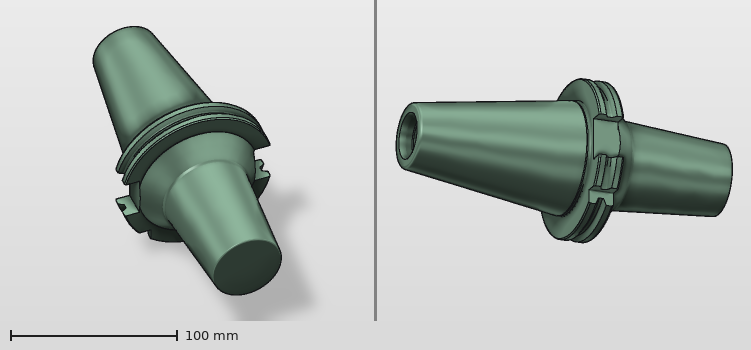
import cadquery as cq
import math

gauge_radius = 69.85 / 2
shank_length = 101.6
taper_slope = 7 / 24 / 2
rear_radius = gauge_radius - shank_length * taper_slope
rear_fillet = 2.0

relief_depth = 0.4
relief_run_in = 1.0
relief_fillet = 1.0

flange_start = 3.2
flange_width = 15.9
flange_end = flange_start + flange_width
flange_radius = 97.5 / 2
flange_chamfer_length = 1.0
flange_chamfer_depth = 0.6
groove_center = 11.15
groove_floor_radius = 45.6
groove_floor_width = 3.2
groove_half_angle = 30
groove_fillet = 1.0

shoulder_radius = 38.6
shoulder_length = 0.3
nose_start = 33.2
nose_end = 100.0
nose_tip_radius = 22.0
nose_angle = 4.5
nose_start_radius = nose_tip_radius + (nose_end - nose_start) * math.tan(math.radians(nose_angle))
nose_blend = 3.0
nose_tip_fillet = 1.0

slot_width = 25.7
slot_floor_back = 35.3
slot_floor_front = 37.7
slot_end = nose_start

notch_offset = 30.1
notch_fillet = 1.0

entry_radius = 14.25
pilot_radius = 13.1
pilot_start = 4.0
pilot_end = 8.0
thread_radius = 12.3
thread_start = 8.6
thread_end = 11.0
core_radius = 11.5
core_start = 11.4
drill_radius = 10.2
drill_start = 13.6
drill_end = 50.0
drill_tip_half_angle = 59

cut_size = flange_radius


def revolve_about_x(points):
    return cq.Workplane("XY").polyline(points).close().revolve(360, (0, 0, 0), (1, 0, 0))


def fillet_circle(body, x, radius, fillet):
    """Round the full circular edge of the given radius that lies at x."""
    near = 0.01
    box = cq.selectors.BoxSelector(
        (x - near, -radius - near, -radius - near),
        (x + near, radius + near, radius + near),
        boundingbox=True,
    )
    smaller = cq.selectors.BoxSelector(
        (x - near, -radius + near, -radius + near),
        (x + near, radius - near, radius - near),
        boundingbox=True,
    )
    return body.edges(box - smaller).fillet(fillet)


def make_body():
    groove_depth = flange_radius - groove_floor_radius
    half_floor = groove_floor_width / 2
    half_rim = half_floor + groove_depth * math.tan(math.radians(groove_half_angle))
    neck_radius = gauge_radius - relief_depth
    chamfer_radius = flange_radius - flange_chamfer_depth
    body = revolve_about_x([
        (-shank_length, 0),
        (-shank_length, rear_radius),
        (0, gauge_radius),
        (relief_run_in, neck_radius),
        (flange_start, neck_radius),
        (flange_start, chamfer_radius),
        (flange_start + flange_chamfer_length, flange_radius),
        (groove_center - half_rim, flange_radius),
        (groove_center - half_floor, groove_floor_radius),
        (groove_center + half_floor, groove_floor_radius),
        (groove_center + half_rim, flange_radius),
        (flange_end - flange_chamfer_length, flange_radius),
        (flange_end, chamfer_radius),
        (flange_end, shoulder_radius),
        (flange_end + shoulder_length, shoulder_radius),
        (nose_start, nose_start_radius),
        (nose_end, nose_tip_radius),
        (nose_end, 0),
    ])
    body = fillet_circle(body, -shank_length, rear_radius, rear_fillet)
    body = fillet_circle(body, flange_start, neck_radius, relief_fillet)
    body = fillet_circle(body, groove_center - half_floor, groove_floor_radius, groove_fillet)
    body = fillet_circle(body, groove_center + half_floor, groove_floor_radius, groove_fillet)
    body = fillet_circle(body, nose_start, nose_start_radius, nose_blend)
    return fillet_circle(body, nose_end, nose_tip_radius, nose_tip_fillet)


def make_bore():
    drill_tip = drill_end + drill_radius / math.tan(math.radians(drill_tip_half_angle))
    bore = revolve_about_x([
        (0, 0),
        (0, entry_radius),
        (pilot_start, pilot_radius),
        (pilot_end, pilot_radius),
        (thread_start, thread_radius),
        (thread_end, thread_radius),
        (core_start, core_radius),
        (drill_start, drill_radius),
        (drill_end, drill_radius),
        (drill_tip, 0),
    ])
    return bore.translate((-shank_length, 0, 0))


def make_drive_slot(floor, side):
    """Block outside the slot floor on the +Y (side = 1) or -Y (side = -1) flank."""
    slot = cq.Workplane("XY").box(slot_end - flange_start, cut_size, slot_width)
    return slot.translate(((flange_start + slot_end) / 2, side * (floor + cut_size / 2), 0))


def make_notch():
    """Block in the -Y, -Z quarter with a rounded inner corner."""
    notch = cq.Workplane("XY").box(flange_width, cut_size, cut_size)
    notch = notch.edges("|X and >Y and >Z").fillet(notch_fillet)
    middle = -notch_offset - cut_size / 2
    return notch.translate((flange_start + flange_width / 2, middle, middle))


result = (
    make_body()
    .cut(make_bore())
    .cut(make_drive_slot(slot_floor_back, 1))
    .cut(make_drive_slot(slot_floor_front, -1))
    .cut(make_notch())
)